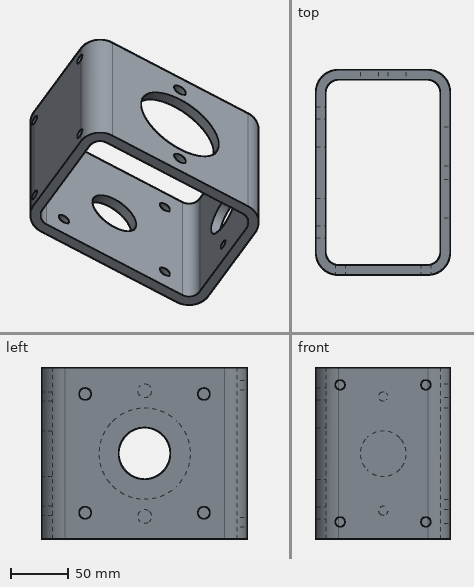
import cadquery as cq

width = 118.0
depth = 180.0
height = 150.0
wall = 9.0
outer_radius = 20.0
inner_radius = outer_radius - wall

left_opening = 45.0
left_bolt_diameter = 10.5
left_bolt_pitch = 104.0

front_bolt_diameter = 8.5
front_bolt_pitch_x = 75.0
front_bolt_pitch_z = 120.0

right_opening = 80.0
right_bolt_diameter = 12.0
right_bolt_pitch = 110.0

back_opening = 40.0
back_bolt_diameter = 8.0
back_bolt_pitch = 100.0


def tube():
    """Open tube with an even wall, corners included."""
    outer = cq.Workplane("XY").box(width, depth, height).edges("|Z").fillet(outer_radius)
    bore = (
        cq.Workplane("XY")
        .box(width - 2 * wall, depth - 2 * wall, height)
        .edges("|Z")
        .fillet(inner_radius)
    )
    return outer.cut(bore)


def wall_cutter(side, points, diameter):
    """Cylinders through one wall, running from the tube centre outwards.

    Each point is the horizontal position along the wall and the height.
    """
    plane, sign, reach = {
        "-X": ("YZ", -1, width),
        "+X": ("YZ", 1, width),
        "-Y": ("XZ", 1, depth),
        "+Y": ("XZ", -1, depth),
    }[side]
    return cq.Workplane(plane).pushPoints(points).circle(diameter / 2).extrude(sign * reach / 2)


def rectangle_points(pitch_across, pitch_up):
    """Four corners of a rectangle centred on the wall."""
    return [(i * pitch_across / 2, k * pitch_up / 2) for i in (-1, 1) for k in (-1, 1)]


def stacked_points(pitch):
    """One point above and one below the wall centre."""
    return [(0, k * pitch / 2) for k in (-1, 1)]


centre = [(0, 0)]
result = (
    tube()
    .cut(wall_cutter("-X", centre, left_opening))
    .cut(wall_cutter("-X", rectangle_points(left_bolt_pitch, left_bolt_pitch), left_bolt_diameter))
    .cut(wall_cutter("-Y", rectangle_points(front_bolt_pitch_x, front_bolt_pitch_z), front_bolt_diameter))
    .cut(wall_cutter("+X", centre, right_opening))
    .cut(wall_cutter("+X", stacked_points(right_bolt_pitch), right_bolt_diameter))
    .cut(wall_cutter("+Y", centre, back_opening))
    .cut(wall_cutter("+Y", stacked_points(back_bolt_pitch), back_bolt_diameter))
)